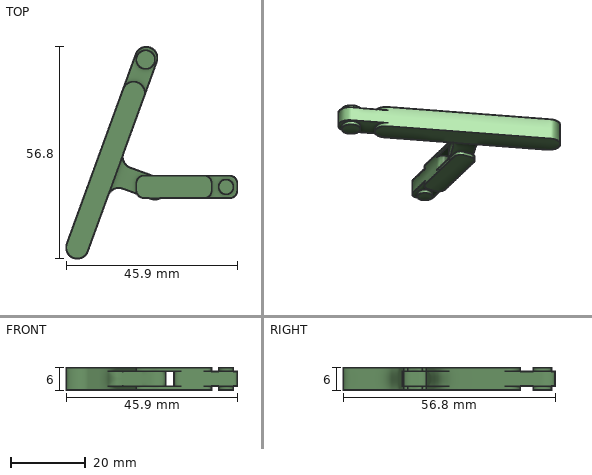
import cadquery as cq
import math

width = 6.0
core_thickness = 4.0
plate_thickness = (width - core_thickness) / 2
end_radius = width / 2

arm_angle = 70
overall_y = 56.75
arm_length = (overall_y - width) / math.sin(math.radians(arm_angle))
plate_setback = 9.95
arm_boss_diameter = 5.0
arm_boss_setback = 0.45
shank_position = 21.95
shank_reach = 14.1
shank_fillet = 3.0

link_left = 15.85
link_right = 42.85
link_y = 16.25
plate_right = 36.0
core_left = 25.9
link_corner_radius = 2.0
fork_corner_radius = 1.8
link_boss_diameter = 4.0
link_boss_x = link_right - width / 2


def centred_layer(profile, thickness):
    """Extrude a profile equally above and below Z = 0."""
    return profile.extrude(thickness / 2, both=True)


def rounded_bar(length):
    """Plan profile with full round ends, starting at the origin."""
    return (
        cq.Workplane("XY")
        .center(length / 2, 0)
        .slot2D(length + width, width)
    )


def boss_pair(x, y, diameter):
    """One disc on each face of the core, flush with the side plates."""
    lower, upper = [
        cq.Workplane("XY", origin=(x, y, z)).circle(diameter / 2).extrude(plate_thickness)
        for z in (-width / 2, core_thickness / 2)
    ]
    return lower.union(upper)


def make_shank():
    """Side branch with a round knuckle and a filleted root in the bar."""
    root_half_width = end_radius + shank_fillet
    flank = -end_radius
    fillet_end = flank - shank_fillet
    profile = (
        cq.Workplane("XY")
        .center(shank_position, 0)
        .moveTo(-root_half_width, 0)
        .lineTo(-root_half_width, flank)
        .radiusArc((-end_radius, fillet_end), shank_fillet)
        .lineTo(-end_radius, -shank_reach)
        .threePointArc((0, -shank_reach - end_radius), (end_radius, -shank_reach))
        .lineTo(end_radius, fillet_end)
        .radiusArc((root_half_width, flank), shank_fillet)
        .lineTo(root_half_width, 0)
        .close()
    )
    return centred_layer(profile, core_thickness)


def make_arm():
    core = centred_layer(rounded_bar(arm_length), core_thickness)
    full_height_bar = centred_layer(rounded_bar(arm_length - plate_setback), width)
    bosses = boss_pair(arm_length - arm_boss_setback, 0, arm_boss_diameter)
    arm = core.union(full_height_bar).union(make_shank()).union(bosses)
    return arm.rotate((0, 0, 0), (0, 0, 1), arm_angle)


def link_layer(left, right, thickness, z, left_radius):
    """Rounded rectangular layer of the link, centred at height z."""
    return (
        cq.Workplane("XY", origin=((left + right) / 2, link_y, z))
        .box(right - left, width, thickness)
        .edges("|Z")
        .edges("<X")
        .fillet(left_radius)
        .edges("|Z")
        .edges(">X")
        .fillet(link_corner_radius)
    )


def make_link():
    plate_z = (core_thickness + plate_thickness) / 2
    link = link_layer(core_left, link_right, core_thickness, 0, fork_corner_radius)
    for z in (-plate_z, plate_z):
        plate = link_layer(link_left, plate_right, plate_thickness, z, link_corner_radius)
        link = link.union(plate)
    return link.union(boss_pair(link_boss_x, link_y, link_boss_diameter))


arm = make_arm()
link = make_link()

result = cq.Compound.makeCompound([arm.val(), link.val()])